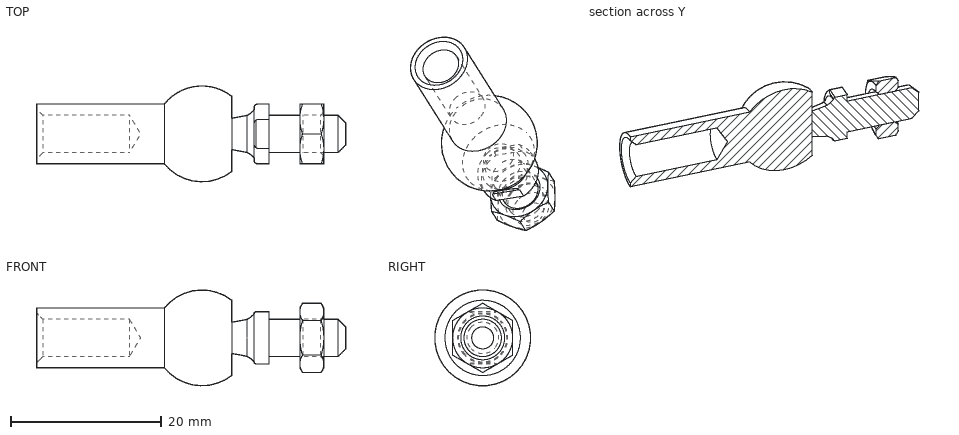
import cadquery as cq
import math

total_length = 41.2
tube_end = 17.0
socket_face = 26.0
neck_end = 28.05
collar_start = 28.95
collar_end = 31.0
nut_start = 35.05

tube_diameter = 8.0
head_diameter = 12.8
bore_diameter = 5.0
countersink_diameter = 6.67
countersink_depth = 0.82
bore_depth = 12.35
drill_point_angle = 118.0

shank_diameter = 5.0
neck_diameter = 4.2
flare_bow = 0.06
flare_diameter = 6.43
collar_diameter = 8.0
collar_round = 0.5
collar_flats = 7.0
flat_chamfer_length = 0.25
flat_chamfer_height = 0.15
tip_chamfer = 1.05

nut_flats = 8.0
nut_thickness = 3.2
nut_chamfer_angle = 30.0
nut_countersink_diameter = 5.85

tube_radius = tube_diameter / 2
head_radius = head_diameter / 2
bore_radius = bore_diameter / 2
head_center = tube_end + math.sqrt(head_radius**2 - tube_radius**2)
face_radius = math.sqrt(head_radius**2 - (socket_face - head_center) ** 2)
drill_point_length = bore_radius / math.tan(math.radians(drill_point_angle / 2))


def revolve_about_x(profile):
    """Close a profile of (x, radius) points and turn it about the X axis."""
    return profile.close().revolve(360, (0, 0, 0), (1, 0, 0))


def make_housing():
    """Tube and truncated ball head, with a countersunk blind bore in the open end."""
    countersink_radius = countersink_diameter / 2
    profile = (
        cq.Workplane("XY")
        .moveTo(0, countersink_radius)
        .lineTo(0, tube_radius)
        .lineTo(tube_end, tube_radius)
        .threePointArc((head_center, head_radius), (socket_face, face_radius))
        .lineTo(socket_face, 0)
        .lineTo(bore_depth + drill_point_length, 0)
        .lineTo(bore_depth, bore_radius)
        .lineTo(countersink_depth, bore_radius)
    )
    return revolve_about_x(profile)


def make_stud():
    """Stud seated against the head face, with a flared neck and a collar with two flats."""
    neck_radius = neck_diameter / 2
    shank_radius = shank_diameter / 2
    flare_radius = flare_diameter / 2
    collar_radius = collar_diameter / 2
    profile = (
        cq.Workplane("XY")
        .moveTo(socket_face, 0)
        .lineTo(socket_face, neck_radius)
        .lineTo(neck_end, shank_radius)
        .sagittaArc((collar_start, flare_radius), -flare_bow)
        .lineTo(collar_start, collar_radius - collar_round)
        .radiusArc((collar_start + collar_round, collar_radius), collar_round)
        .lineTo(collar_end, collar_radius)
        .lineTo(collar_end, shank_radius)
        .lineTo(total_length - tip_chamfer, shank_radius)
        .lineTo(total_length, shank_radius - tip_chamfer)
        .lineTo(total_length, 0)
    )
    half_flats = collar_flats / 2
    half_front = half_flats - flat_chamfer_height
    flats_envelope = (
        cq.Workplane("XZ")
        .moveTo(socket_face, -half_front)
        .lineTo(socket_face, half_front)
        .lineTo(collar_start, half_front)
        .lineTo(collar_start + flat_chamfer_length, half_flats)
        .lineTo(total_length, half_flats)
        .lineTo(total_length, -half_flats)
        .lineTo(collar_start + flat_chamfer_length, -half_flats)
        .lineTo(collar_start, -half_front)
        .close()
        .extrude(collar_radius, both=True)
    )
    return revolve_about_x(profile).intersect(flats_envelope)


def make_nut():
    """Hexagon nut with corners up and down, both ends chamfered to the flats circle and countersunk."""
    corner_radius = nut_flats / math.sqrt(3)
    face_circle_radius = nut_flats / 2
    chamfer_length = (corner_radius - face_circle_radius) * math.tan(math.radians(nut_chamfer_angle))
    nut_end = nut_start + nut_thickness
    hexagon = (
        cq.Workplane("YZ", origin=(nut_start, 0, 0))
        .transformed(rotate=(0, 0, 90))
        .polygon(6, 2 * corner_radius)
        .extrude(nut_thickness)
    )
    hole_radius = shank_diameter / 2
    mouth_radius = nut_countersink_diameter / 2
    mouth_depth = mouth_radius - hole_radius
    turned_ring = revolve_about_x(
        cq.Workplane("XY")
        .moveTo(nut_start + mouth_depth, hole_radius)
        .lineTo(nut_start, mouth_radius)
        .lineTo(nut_start, face_circle_radius)
        .lineTo(nut_start + chamfer_length, corner_radius)
        .lineTo(nut_end - chamfer_length, corner_radius)
        .lineTo(nut_end, face_circle_radius)
        .lineTo(nut_end, mouth_radius)
        .lineTo(nut_end - mouth_depth, hole_radius)
    )
    return hexagon.intersect(turned_ring)


housing = make_housing()
stud = make_stud()
nut = make_nut()

result = cq.Compound.makeCompound([housing.val(), stud.val(), nut.val()])